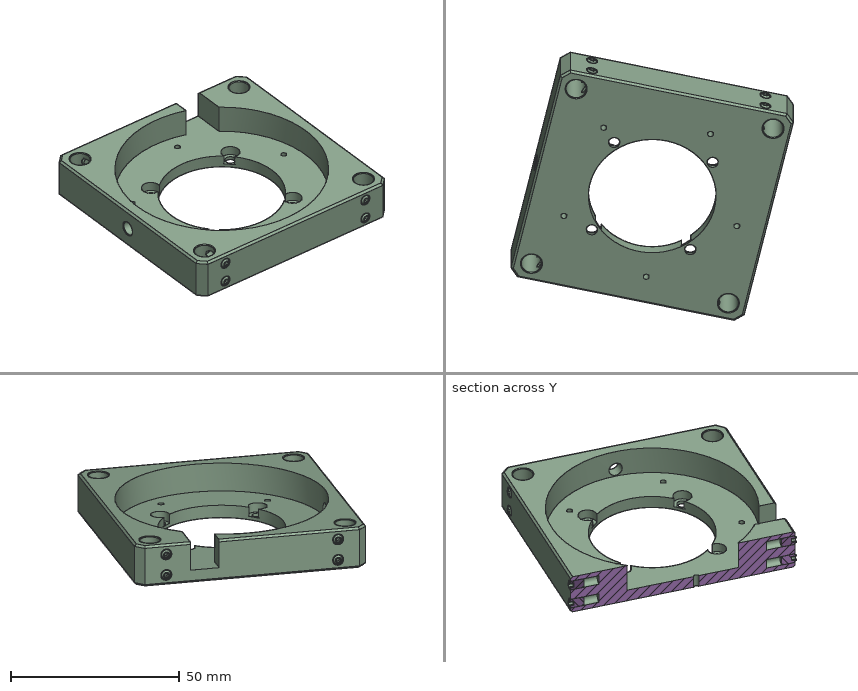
import cadquery as cq
import math

plate_side = 71.1
plate_thickness = 12.7
corner_chamfer = 2.5
rim_chamfer = 0.65
half_side = plate_side / 2
mid_height = plate_thickness / 2

pocket_diameter = 63.55
pocket_depth = 8.8
floor_thickness = plate_thickness - pocket_depth
bore_diameter = 37.95
slot_width = 8.8
slot_center_y = 14.5

rod_spacing = 60.0
rod_hole_diameter = 6.05

mount_spacing = rod_spacing / 2
mount_hole_diameter = 3.3
counterbore_diameter = 5.6
counterbore_depth = 2.9

ring_hole_count = 5
ring_radius = 27.1
ring_hole_diameter = 1.7
ring_start_angle = 27

post_hole_diameter = 4.2

lead_in = 0.25

overall_length = 71.9
screw_diameter = 2.9
outer_end_diameter = 1.9
outer_end_length = 0.5
inner_end_diameter = 2.2
inner_end_length = 0.6
screw_length = 4.75
screw_protrusion = (overall_length - plate_side) / 2
screw_hole_depth = 9.0
screw_to_rod_offset = 3.6
screw_offset_y = rod_spacing / 2 - screw_to_rod_offset
screw_offset_z = 3.2
socket_sides = 6
socket_across_flats = 1.3
socket_depth = 1.45
socket_across_corners = socket_across_flats / math.cos(math.pi / socket_sides)

screw_places = [
    (side, y, mid_height + dz)
    for side in (-1, 1)
    for y in (-screw_offset_y, screw_offset_y)
    for dz in (-screw_offset_z, screw_offset_z)
]


def lead_in_cone(diameter, mouth, direction):
    """Cone that opens a hole by the lead-in at its mouth; direction points into the hole."""
    radius = diameter / 2
    return cq.Solid.makeCone(radius + lead_in, radius, lead_in, mouth, direction)


def make_blank():
    return (
        cq.Workplane("XY")
        .rect(plate_side, plate_side)
        .extrude(plate_thickness)
        .edges("|Z")
        .chamfer(corner_chamfer)
        .faces("<Z or >Z")
        .edges()
        .chamfer(rim_chamfer)
    )


def cut_pocket_bore_and_slot(plate):
    pocket = (
        cq.Workplane("XY", origin=(0, 0, floor_thickness))
        .circle(pocket_diameter / 2)
        .extrude(pocket_depth)
    )
    slot = (
        cq.Workplane("XY", origin=(-half_side / 2, slot_center_y, floor_thickness))
        .rect(half_side, slot_width)
        .extrude(pocket_depth)
    )
    bore = cq.Workplane("XY").circle(bore_diameter / 2).extrude(plate_thickness)
    return plate.cut(pocket).cut(slot).cut(bore)


def cut_rod_holes(plate):
    centers = cq.Workplane("XY").rect(rod_spacing, rod_spacing, forConstruction=True).vertices()
    plate = plate.cut(centers.circle(rod_hole_diameter / 2).extrude(plate_thickness))
    for center in centers.vals():
        x, y, _ = center.toTuple()
        top = cq.Vector(x, y, plate_thickness)
        bottom = cq.Vector(x, y, 0)
        plate = plate.cut(cq.Workplane(lead_in_cone(rod_hole_diameter, top, cq.Vector(0, 0, -1))))
        plate = plate.cut(cq.Workplane(lead_in_cone(rod_hole_diameter, bottom, cq.Vector(0, 0, 1))))
    return plate


def cut_mount_holes(plate):
    return (
        plate.copyWorkplane(cq.Workplane("XY", origin=(0, 0, floor_thickness)))
        .rect(mount_spacing, mount_spacing, forConstruction=True)
        .vertices()
        .cboreHole(mount_hole_diameter, counterbore_diameter, counterbore_depth, floor_thickness)
    )


def cut_ring_holes(plate):
    holes = (
        cq.Workplane("XY")
        .polarArray(ring_radius, ring_start_angle, 360, ring_hole_count)
        .circle(ring_hole_diameter / 2)
        .extrude(floor_thickness)
    )
    return plate.cut(holes)


def cut_post_hole(plate):
    mouth = cq.Vector(0, -half_side, mid_height)
    inward = cq.Vector(0, 1, 0)
    hole = cq.Solid.makeCylinder(post_hole_diameter / 2, half_side, mouth, inward)
    cone = lead_in_cone(post_hole_diameter, mouth, inward)
    return plate.cut(cq.Workplane(hole)).cut(cq.Workplane(cone))


def cut_screw_holes(plate):
    for side, y, z in screw_places:
        mouth = cq.Vector(side * half_side, y, z)
        inward = cq.Vector(-side, 0, 0)
        hole = cq.Solid.makeCylinder(screw_diameter / 2, screw_hole_depth, mouth, inward)
        cone = lead_in_cone(screw_diameter, mouth, inward)
        plate = plate.cut(cq.Workplane(hole)).cut(cq.Workplane(cone))
    return plate


def make_plate():
    plate = make_blank()
    plate = cut_pocket_bore_and_slot(plate)
    plate = cut_rod_holes(plate)
    plate = cut_mount_holes(plate)
    plate = cut_ring_holes(plate)
    plate = cut_post_hole(plate)
    return cut_screw_holes(plate)


def make_set_screw(side, y, z):
    """Set screw tapered at both ends, with a hexagon socket in the outer one."""
    radius = screw_diameter / 2
    outer_end = cq.Vector(side * (half_side + screw_protrusion), y, z)
    inward = cq.Vector(-side, 0, 0)
    shank_start = outer_end + inward * outer_end_length
    shank_length = screw_length - outer_end_length - inner_end_length
    shank_end = shank_start + inward * shank_length
    outer_taper = cq.Solid.makeCone(outer_end_diameter / 2, radius, outer_end_length, outer_end, inward)
    shank = cq.Solid.makeCylinder(radius, shank_length, shank_start, inward)
    inner_taper = cq.Solid.makeCone(radius, inner_end_diameter / 2, inner_end_length, shank_end, inward)
    end_plane = cq.Plane(origin=outer_end, xDir=(0, 1, 0), normal=inward)
    socket = cq.Workplane(end_plane).polygon(socket_sides, socket_across_corners).extrude(socket_depth)
    body = cq.Workplane(shank).union(cq.Workplane(outer_taper)).union(cq.Workplane(inner_taper))
    return body.cut(socket)


plate = make_plate()
set_screws = [make_set_screw(side, y, z) for side, y, z in screw_places]

result = cq.Compound.makeCompound([plate.val(), *[screw.val() for screw in set_screws]])